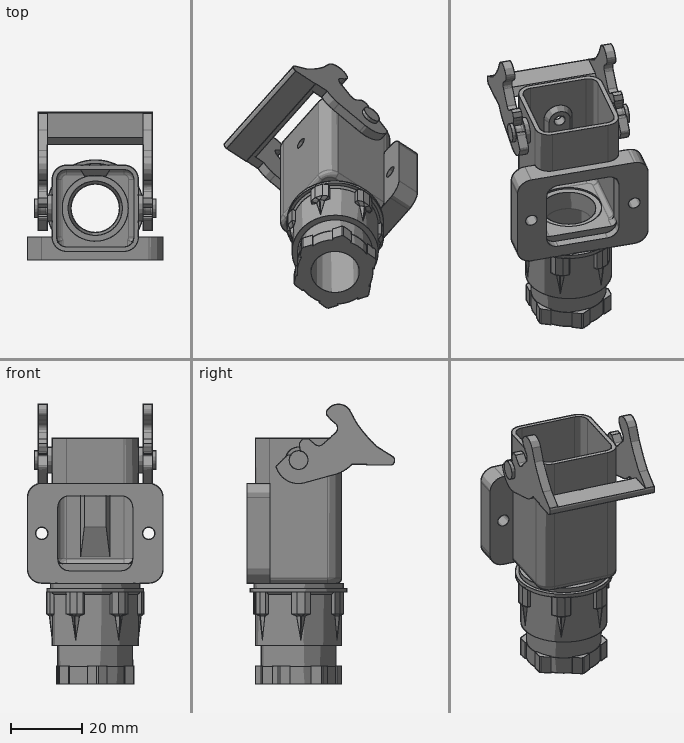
import cadquery as cq
import math


body_width = 24.1
body_bottom = 28.2
body_top = 68.8
body_corner = 4.0
bottom_round = 1.5
wall = 1.25
floor_top = 33.7
cavity_width = body_width - 2 * wall
cavity_corner = body_corner - wall
half_body = body_width / 2
half_cavity = cavity_width / 2

flange_width = 38.0
flange_height = 28.0
flange_front = -14.5
flange_thickness = 6.5
flange_mid_z = body_bottom + flange_height / 2
opening_size = 21.0
opening_corner = 3.3
mount_hole_diameter = 3.4
mount_hole_x = 15.0

boss_half_width = 4.1
boss_face_half_width = 3.05
boss_depth = 1.7
boss_centre_z = 57.2
boss_foot_z = 35.65
boss_ramp_top_z = 43.95
boss_hole_diameter = 3.1

lever_outer_x = 16.0
lever_inner_x = 13.4
pivot_z = 62.7
pivot_diameter = 5.25
neck_radius = 1.8
neck_fillet = 0.5
pivot_end_x = 17.0
pivot_collar_diameter = 7.3
lever_heel_radius = 6.6
bar_top_z = 63.5
bar_front_y = 17.6
bar_chamfer = 2.1

step_angle = 60
gland_turn = 3
collar_radius = 12.5
rim_radius = 13.55
rim_top = 26.8
rim_bottom = 25.7
gland_radius = body_width / 2
gland_bottom = 10.7
gland_flare = 0.6
sleeve_radius = 10.5
nut_height = 5.1
nut_flat_radius = 10.6
nut_corner_radius = 12.1
nut_relief_width = 5.95
nut_relief_height = 4.85

rib_bottom = 19.7
rib_bevel = 0.6
rib_half_base = 2.7
rib_half_face = 1.1
rib_shoulder_radius = 12.8
spike_half_base = 1.2
spike_half_face = 0.15
spike_radius = 12.85
spike_tip_z = 12.4
spike_tip_half_width = 0.1

floor_hole_diameter = 18.5
floor_hole_depth = 0.5
bore_mouth_radius = 7.6
bore_radius = 6.7


def cylinder(radius, bottom, top):
    return cq.Workplane("XY").workplane(offset=bottom).circle(radius).extrude(top - bottom)


def x_cylinder(diameter, x_start, x_end):
    plane = cq.Workplane("YZ", origin=(x_start, 0, pivot_z))
    return plane.circle(diameter / 2).extrude(x_end - x_start)


def y_prism(width, bottom, top, y_front, y_back):
    """Block centred on X between two heights, running from y_front back to y_back."""
    size = (width, y_back - y_front, top - bottom)
    return cq.Workplane("XY").box(*size).translate((0, (y_front + y_back) / 2, (bottom + top) / 2))


def make_hood():
    hood = y_prism(body_width, body_bottom, body_top, -half_body, half_body)
    hood = hood.edges("|Z").fillet(body_corner).faces("<Z").edges().fillet(bottom_round)

    flange_back = flange_front + flange_thickness
    flange_top = body_bottom + flange_height
    flange = y_prism(flange_width, body_bottom, flange_top, flange_front, flange_back)
    return hood.union(flange.edges("|Y").fillet(body_corner))


def make_cavity():
    cavity = y_prism(cavity_width, floor_top, body_top, -half_cavity, half_cavity)
    cavity = cavity.edges("|Z").fillet(cavity_corner).faces("<Z").edges().fillet(bottom_round)

    opening_bottom = flange_mid_z - opening_size / 2
    opening_top = flange_mid_z + opening_size / 2
    window = y_prism(opening_size, opening_bottom, opening_top, flange_front, -half_body)
    window = window.edges("|Y").fillet(opening_corner)
    passage = y_prism(opening_size, floor_top, opening_top, -half_body, 0)
    passage = passage.edges("|Y and >Z").fillet(opening_corner)
    passage = passage.edges("|Y and <Z").fillet(bottom_round)
    return cavity.union(window).union(passage)


def make_mount_holes():
    plane = cq.Workplane("XZ", origin=(0, flange_front, flange_mid_z))
    spots = [(-mount_hole_x, 0), (mount_hole_x, 0)]
    return plane.pushPoints(spots).circle(mount_hole_diameter / 2).extrude(-flange_thickness)


def make_screw_boss():
    """Drafted boss with a round top and a ramped foot."""
    draft = math.degrees(math.atan((boss_half_width - boss_face_half_width) / boss_depth))
    boss = (
        cq.Workplane("XZ", origin=(0, half_cavity, 0))
        .moveTo(-boss_half_width, floor_top)
        .lineTo(boss_half_width, floor_top)
        .lineTo(boss_half_width, boss_centre_z)
        .threePointArc((0, boss_centre_z + boss_half_width), (-boss_half_width, boss_centre_z))
        .close()
        .extrude(boss_depth, taper=draft)
    )
    boss_face_y = half_cavity - boss_depth
    below_ramp = (
        cq.Workplane("YZ", origin=(-body_width / 2, 0, 0))
        .polyline([
            (half_cavity, boss_foot_z),
            (boss_face_y, boss_ramp_top_z),
            (boss_face_y, floor_top),
            (half_cavity, floor_top),
        ])
        .close()
        .extrude(body_width)
    )
    return boss.cut(below_ramp)


def make_boss_hole():
    plane = cq.Workplane("XZ", origin=(0, half_body, boss_centre_z))
    return plane.circle(boss_hole_diameter / 2).extrude(wall + boss_depth)


def neck_point(angle):
    """Point in Y and Z on the pin neck, with the angle in degrees from +Y towards +Z."""
    turn = math.radians(angle)
    return (neck_radius * math.cos(turn), pivot_z + neck_radius * math.sin(turn))


def lever_profile(x_start):
    """Outline of the lever side plate in Y and Z, starting at the tip of the grip."""
    return (
        cq.Workplane("YZ", origin=(x_start, 0, 0))
        .moveTo(26.0, 61.3)
        .lineTo(19.0, 61.3)
        .lineTo(19.0, 61.5)
        .lineTo(15.0, 61.5)
        .threePointArc((13.25, 60.0), (10.8, 58.85))
        .lineTo(1.65, pivot_z - 6.35)
        .threePointArc((-2.8, pivot_z - 5.95), (-6.2, 60.5))
        .threePointArc((-6.3, 60.9), (-6.0, 61.2))
        .lineTo(-3.4, 63.85)
        .threePointArc((-3.1, 64.0), (-2.8, 64.1))
        .lineTo(-2.3, 64.1)
        .lineTo(*neck_point(160))
        .threePointArc(neck_point(112), neck_point(65))
        .lineTo(0.6, 65.0)
        .lineTo(0.2, 66.4)
        .lineTo(0.2, 67.4)
        .lineTo(1.2, 68.6)
        .lineTo(2.8, 68.6)
        .lineTo(4.7, 67.0)
        .threePointArc((5.7, 66.7), (6.7, 67.1))
        .lineTo(10.4, 70.4)
        .threePointArc((10.9, 71.6), (10.4, 72.8))
        .lineTo(9.0, 74.0)
        .lineTo(7.9, 75.3)
        .threePointArc((7.75, 76.0), (8.0, 76.6))
        .threePointArc((11.2, 78.35), (14.3, 76.6))
        .lineTo(16.2, 73.1)
        .threePointArc((18.65, 69.9), (21.9, 66.45))
        .lineTo(26.55, 63.55)
        .threePointArc((26.8, 62.05), (26.0, 61.3))
        .close()
    )


def make_lever():
    plate = lever_profile(lever_inner_x).extrude(lever_outer_x - lever_inner_x)
    lever = plate.union(plate.mirror("YZ"))

    bar_floor = pivot_z - lever_heel_radius
    bar_back_y = bar_front_y + half_body
    bar_limits = (
        cq.Workplane("YZ", origin=(-lever_inner_x, 0, 0))
        .polyline([
            (bar_front_y, bar_floor),
            (bar_front_y, bar_top_z - bar_chamfer),
            (bar_front_y + bar_chamfer, bar_top_z),
            (bar_back_y, bar_top_z),
            (bar_back_y, bar_floor),
        ])
        .close()
        .extrude(2 * lever_inner_x)
    )
    bar = lever_profile(-lever_inner_x).extrude(2 * lever_inner_x).intersect(bar_limits)
    return lever.union(bar)


def make_pivots():
    """Collar and headed pin on each side, necked where the pin passes through the lever."""
    root_x = half_cavity + wall / 2
    collar = x_cylinder(pivot_collar_diameter, root_x, lever_inner_x)
    head = x_cylinder(pivot_diameter, lever_outer_x, pivot_end_x)
    flare_radius = neck_radius + neck_fillet
    neck = (
        cq.Workplane("XY", origin=(0, 0, pivot_z))
        .moveTo(root_x, 0)
        .lineTo(root_x, flare_radius)
        .lineTo(lever_inner_x, flare_radius)
        .radiusArc((lever_inner_x + neck_fillet, neck_radius), -neck_fillet)
        .lineTo(lever_outer_x - neck_fillet, neck_radius)
        .radiusArc((lever_outer_x, flare_radius), -neck_fillet)
        .lineTo(pivot_end_x, flare_radius)
        .lineTo(pivot_end_x, 0)
        .close()
        .revolve(360, (0, 0, 0), (1, 0, 0))
    )
    pivot = collar.union(head).union(neck)
    return pivot.union(pivot.mirror("YZ"))


def rib_section(plane, half_base, shoulder_radius, half_face, face_radius):
    """Hexagonal rib section on the +X side, rooted inside the gland."""
    return (
        plane.polyline([
            (sleeve_radius, -half_base),
            (shoulder_radius, -half_base),
            (face_radius, -half_face),
            (face_radius, half_face),
            (shoulder_radius, half_base),
            (sleeve_radius, half_base),
        ])
        .close()
    )


def make_rib():
    """Grip rib, bevelled underneath and running out in a pointed spike."""
    rib_shape = (rib_half_base, rib_shoulder_radius, rib_half_face, rim_radius)
    spike_shape = (spike_half_base, gland_radius, spike_half_face, spike_radius)
    tip_shape = (
        spike_tip_half_width,
        gland_radius - spike_tip_half_width,
        spike_tip_half_width / 2,
        gland_radius,
    )
    spike_top = rib_bottom - rib_bevel

    rib = rib_section(cq.Workplane("XY", origin=(0, 0, rib_bottom)), *rib_shape)
    rib = rib.extrude(rim_bottom - rib_bottom)
    bevel = rib_section(cq.Workplane("XY", origin=(0, 0, rib_bottom)), *rib_shape)
    bevel = rib_section(bevel.workplane(offset=-rib_bevel), *spike_shape).loft(ruled=True)
    spike = rib_section(cq.Workplane("XY", origin=(0, 0, spike_top)), *spike_shape)
    spike = rib_section(spike.workplane(offset=spike_tip_z - spike_top), *tip_shape)
    return rib.union(bevel).union(spike.loft(ruled=True))


def make_clamping_nut():
    """Hexagon with blunt corners, relieved to the sleeve in the middle of each flat."""
    across_corners = 2 / math.cos(math.radians(30))
    plane = cq.Workplane("XY")
    nut = plane.polygon(6, nut_flat_radius * across_corners).extrude(nut_height)
    nut = nut.rotate((0, 0, 0), (0, 0, 1), 30)
    blunt = plane.polygon(6, nut_corner_radius * across_corners).extrude(nut_height)
    nut = nut.intersect(blunt)
    relief = plane.box(2 * nut_corner_radius, nut_relief_width, nut_height, centered=(True, True, False))
    for turn in range(3):
        nut = nut.cut(relief.rotate((0, 0, 0), (0, 0, 1), turn * step_angle))
    core = cylinder(sleeve_radius, 0, nut_height)
    core = core.union(cylinder(nut_flat_radius, 0, nut_relief_height))
    return nut.union(core)


def make_gland():
    gland = cylinder(collar_radius, rim_top, body_bottom)
    gland = gland.union(cylinder(rim_radius, rim_bottom, rim_top))
    gland = gland.union(cylinder(gland_radius, gland_bottom, rim_bottom))
    flare = cylinder(gland_radius + gland_flare, rim_bottom - gland_flare, rim_top)
    gland = gland.union(flare.faces("<Z").chamfer(gland_flare))
    gland = gland.union(cylinder(sleeve_radius, nut_height, gland_bottom))
    gland = gland.union(make_clamping_nut())
    rib = make_rib()
    for turn in range(6):
        gland = gland.union(rib.rotate((0, 0, 0), (0, 0, 1), turn * step_angle))
    return gland.rotate((0, 0, 0), (0, 0, 1), gland_turn)


def make_bore():
    """Stepped mouth in the cavity floor, narrowing to a plain through bore."""
    mouth_bottom = floor_top - floor_hole_depth
    return (
        cq.Workplane("XZ")
        .polyline([
            (0, 0),
            (bore_radius, 0),
            (bore_radius, body_bottom),
            (bore_mouth_radius, mouth_bottom),
            (floor_hole_diameter / 2, mouth_bottom),
            (floor_hole_diameter / 2, floor_top),
            (0, floor_top),
        ])
        .close()
        .revolve(360, (0, 0, 0), (0, 1, 0))
    )


result = make_hood().union(make_gland())
result = result.cut(make_cavity()).union(make_screw_boss())
result = result.cut(make_mount_holes()).cut(make_boss_hole()).cut(make_bore())
result = result.union(make_pivots()).union(make_lever())